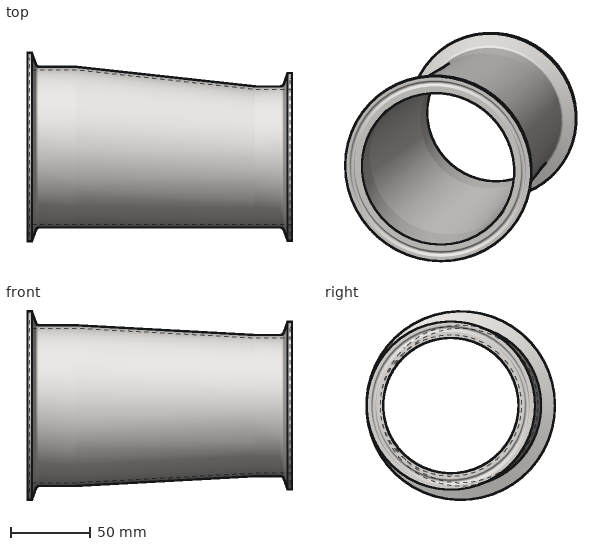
import cadquery as cq
import math

length = 167.0
large_outer = 101.5 / 2
large_inner = 97.5 / 2
large_rim = 119.0 / 2
small_outer = 89.2 / 2
small_inner = 85.2 / 2
small_rim = 106.0 / 2

large_end_length = 30.4
small_end_length = 23.2
taper_length = length - large_end_length - small_end_length
small_axis_y = small_outer - large_outer

rim_width = 2.8
flange_slope = math.radians(20)
neck_fillet = 2.0
groove_inset = 4.6
groove_depth = 1.5
groove_radius = 1.3
lip_radius = 0.8

lip_height = lip_radius + groove_radius - groove_depth
lip_offset = math.sqrt((groove_radius + lip_radius) ** 2 - lip_height**2)
contact_share = groove_radius / (groove_radius + lip_radius)
contact_offset = lip_offset * contact_share
contact_depth = groove_depth - groove_radius + lip_height * contact_share


def ferrule(outer, inner, rim, end_length):
    """Flanged tube end on the X axis, its grooved face at x = 0."""
    groove_center = rim - groove_inset
    neck_x = rim_width + (rim - outer) * math.tan(flange_slope)
    tangent_length = neck_fillet * math.tan((math.pi / 2 - flange_slope) / 2)
    fillet_start_x = neck_x - tangent_length * math.sin(flange_slope)
    fillet_start_r = outer + tangent_length * math.cos(flange_slope)
    arc_mid_angle = math.pi / 4 + flange_slope / 2
    fillet_mid_x = neck_x + tangent_length - neck_fillet * math.cos(arc_mid_angle)
    fillet_mid_r = outer + neck_fillet * (1 - math.sin(arc_mid_angle))

    profile = (
        cq.Workplane("XY")
        .moveTo(0, inner)
        .lineTo(0, groove_center - lip_offset)
        .tangentArcPoint((contact_depth, groove_center - contact_offset), relative=False)
        .threePointArc((groove_depth, groove_center), (contact_depth, groove_center + contact_offset))
        .tangentArcPoint((0, groove_center + lip_offset), relative=False)
        .lineTo(0, rim)
        .lineTo(rim_width, rim)
        .lineTo(fillet_start_x, fillet_start_r)
        .threePointArc((fillet_mid_x, fillet_mid_r), (neck_x + tangent_length, outer))
        .lineTo(end_length, outer)
        .lineTo(end_length, inner)
        .close()
    )
    return profile.revolve(360, (0, 0, 0), (1, 0, 0))


def taper(large_radius, small_radius):
    """Solid taper between the two offset tube ends."""
    return (
        cq.Workplane("YZ", origin=(large_end_length, 0, 0))
        .circle(large_radius)
        .workplane(offset=taper_length)
        .center(small_axis_y, 0)
        .circle(small_radius)
        .loft(ruled=True)
    )


large_end = ferrule(large_outer, large_inner, large_rim, large_end_length)
small_end = (
    ferrule(small_outer, small_inner, small_rim, small_end_length)
    .mirror("YZ")
    .translate((length, small_axis_y, 0))
)
reducer_wall = taper(large_outer, small_outer).cut(taper(large_inner, small_inner))

result = large_end.union(reducer_wall).union(small_end)